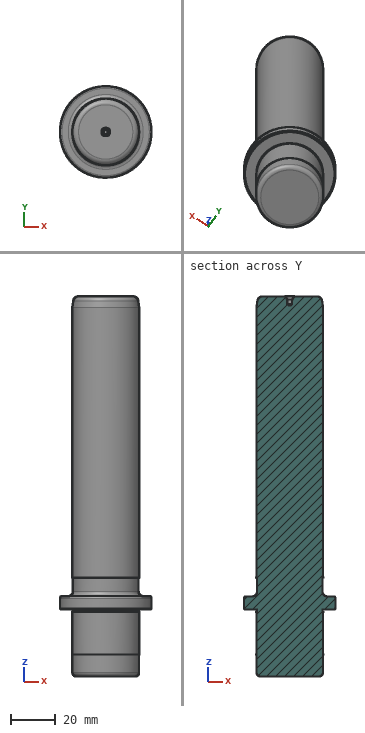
import cadquery as cq
import math

total_length = 170.0
pin_radius = 15.0
flange_radius = 20.5

shank_fillet = 2.0
shank_lead_length = 10.0
shank_lead_clearance = 0.025
shank_lead_radius = pin_radius - shank_lead_clearance

flange_bottom = 30.0
flange_thickness = 6.0
flange_top = flange_bottom + flange_thickness
flange_top_fillet = 1.0
flange_bottom_chamfer = 0.5

relief_depth = 0.25
relief_radius = pin_radius - relief_depth
lower_relief_length = 1.0
upper_relief_length = 8.25
upper_relief_end = flange_top + upper_relief_length
upper_relief_fillet = 2.0

lead_in_length = 5.0
lead_in_angle = 8.0
tip_radius = 2.5

centre_mouth_radius = 1.9
centre_pilot_radius = 1.0
centre_cone_half_angle = 30.0
centre_pilot_length = 2.0
drill_point_half_angle = 59.0


def cone_depth(wide_radius, narrow_radius, half_angle):
    """Axial length of a cone between two radii."""
    return (wide_radius - narrow_radius) / math.tan(math.radians(half_angle))


def arc_point(centre_x, centre_z, radius, direction):
    """Point of an arc lying in the given direction (degrees) from the arc centre."""
    angle = math.radians(direction)
    return (centre_x + radius * math.cos(angle), centre_z + radius * math.sin(angle))


def make_body():
    """Revolved pin: shank, flange, reliefs, guide length and lead-in."""
    shank_end_radius = shank_lead_radius - shank_fillet
    shank_fillet_middle = arc_point(shank_end_radius, shank_fillet, shank_fillet, -45)

    flange_face_radius = flange_radius - flange_top_fillet
    flange_fillet_base = flange_top - flange_top_fillet
    flange_fillet_middle = arc_point(flange_face_radius, flange_fillet_base, flange_top_fillet, 45)

    root_radius = relief_radius + upper_relief_fillet
    root_height = flange_top + upper_relief_fillet
    root_middle = arc_point(root_radius, root_height, upper_relief_fillet, -135)

    taper = math.radians(lead_in_angle)
    tip_centre_height = total_length - tip_radius
    cone_height_at_centre = lead_in_length - tip_radius
    cone_radius_at_centre = pin_radius - cone_height_at_centre * math.tan(taper)
    tip_centre_radius = cone_radius_at_centre - tip_radius / math.cos(taper)
    tip_start = (
        tip_centre_radius + tip_radius * math.cos(taper),
        tip_centre_height + tip_radius * math.sin(taper),
    )
    tip_direction = (lead_in_angle + 90) / 2
    tip_middle = arc_point(tip_centre_radius, tip_centre_height, tip_radius, tip_direction)

    profile = (
        cq.Workplane("XZ")
        .lineTo(shank_end_radius, 0)
        .threePointArc(shank_fillet_middle, (shank_lead_radius, shank_fillet))
        .lineTo(shank_lead_radius, shank_lead_length)
        .lineTo(pin_radius, shank_lead_length)
        .lineTo(pin_radius, flange_bottom - lower_relief_length)
        .lineTo(relief_radius, flange_bottom - lower_relief_length + relief_depth)
        .lineTo(relief_radius, flange_bottom)
        .lineTo(flange_radius - flange_bottom_chamfer, flange_bottom)
        .lineTo(flange_radius, flange_bottom + flange_bottom_chamfer)
        .lineTo(flange_radius, flange_fillet_base)
        .threePointArc(flange_fillet_middle, (flange_face_radius, flange_top))
        .lineTo(root_radius, flange_top)
        .threePointArc(root_middle, (relief_radius, root_height))
        .lineTo(relief_radius, upper_relief_end - relief_depth)
        .lineTo(pin_radius, upper_relief_end)
        .lineTo(pin_radius, total_length - lead_in_length)
        .lineTo(*tip_start)
        .threePointArc(tip_middle, (tip_centre_radius, total_length))
        .lineTo(0, total_length)
        .close()
    )
    return profile.revolve(360, (0, 0), (0, 1))


def make_centre_hole():
    """Cutting tool for the centre drilling: countersink, pilot and drill point."""
    pilot_top = total_length - cone_depth(centre_mouth_radius, centre_pilot_radius, centre_cone_half_angle)
    pilot_bottom = pilot_top - centre_pilot_length
    drill_tip = pilot_bottom - cone_depth(centre_pilot_radius, 0, drill_point_half_angle)
    profile = (
        cq.Workplane("XZ")
        .moveTo(0, total_length)
        .lineTo(centre_mouth_radius, total_length)
        .lineTo(centre_pilot_radius, pilot_top)
        .lineTo(centre_pilot_radius, pilot_bottom)
        .lineTo(0, drill_tip)
        .close()
    )
    return profile.revolve(360, (0, 0), (0, 1))


result = make_body().cut(make_centre_hole())